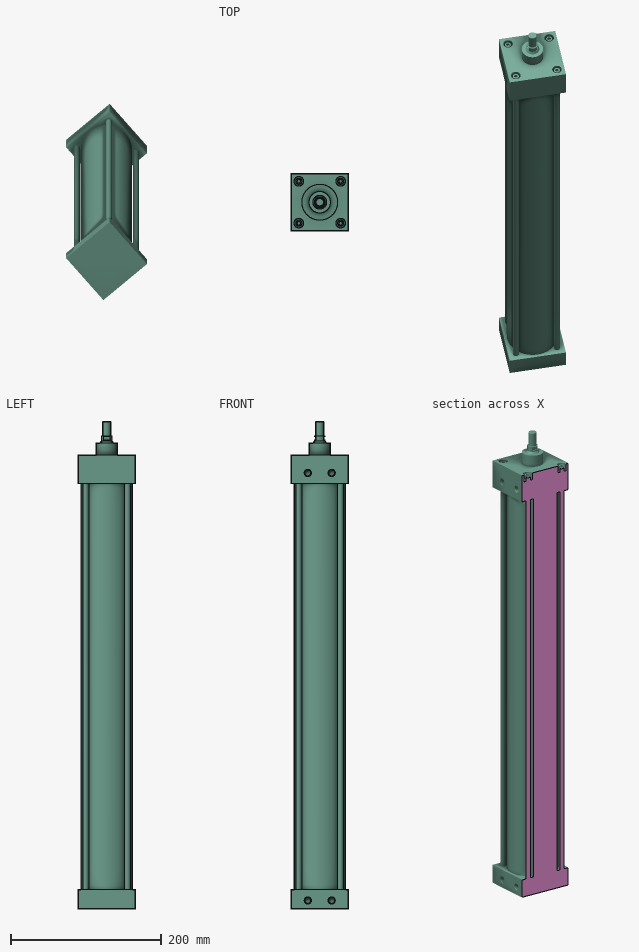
import cadquery as cq
import math

INCH = 25.4

side = 3.0 * INCH
total_length = 25.5 * INCH
rod_reach = 1.75 * INCH
head_height = 1.5 * INCH
cap_height = 1.0 * INCH
head_top = total_length - rod_reach
head_bottom = head_top - head_height

tube_diameter = 2.7 * INCH
tie_rod_spacing = 2.19 * INCH
tie_rod_diameter = 5 / 16 * INCH

pocket_diameter = 0.5 * INCH
pocket_depth = 3 / 8 * INCH
tie_rod_end_height = 5 / 16 * INCH
socket_corner_diameter = 0.2 * INCH
socket_depth = 0.15 * INCH

mount_spacing = 1.25 * INCH
mount_mouth_diameter = 3 / 8 * INCH
mount_mouth_depth = 0.1 * INCH
mount_drill_diameter = 5 / 16 * INCH
mount_drill_depth = 0.625 * INCH
drill_point_angle = 118
head_mount_z = head_bottom + 9 / 16 * INCH
cap_mount_z = 7 / 16 * INCH

gland_recess_diameter = 1.875 * INCH
gland_recess_depth = 0.1
boss_diameter = 1.125 * INCH
boss_height = 5 / 8 * INCH
boss_top = head_top + boss_height
wiper_base_diameter = 0.72 * INCH
wiper_height = 0.1 * INCH
wiper_lip_thickness = 0.2

rod_diameter = 0.55 * INCH
rod_thread_diameter = 7 / 16 * INCH
rod_thread_length = 0.75 * INCH
rod_shoulder = total_length - rod_thread_length
rod_end_chamfer = 0.5
flat_width = 0.42 * INCH
flat_length = 0.18 * INCH
flat_collar = 0.02 * INCH

tie_rod_points = [
    (x * tie_rod_spacing / 2, y * tie_rod_spacing / 2) for x in (-1, 1) for y in (-1, 1)
]


def level(z):
    """Horizontal workplane at height z, centred on the cylinder axis."""
    return cq.Workplane("XY", origin=(0, 0, z))


def make_disc(diameter, z_low, z_high):
    return level(z_low).circle(diameter / 2).extrude(z_high - z_low)


def make_block(z_low, z_high):
    return level(z_low).rect(side, side).extrude(z_high - z_low)


def make_tie_rod_ends():
    seat = head_top - pocket_depth
    ends = level(seat).pushPoints(tie_rod_points).circle(tie_rod_diameter / 2)
    ends = ends.extrude(tie_rod_end_height)
    sockets = level(seat + tie_rod_end_height).pushPoints(tie_rod_points)
    sockets = sockets.polygon(6, socket_corner_diameter).extrude(-socket_depth)
    return ends.cut(sockets)


def make_mount_hole(x, z):
    """Stepped hole running in +Y, its drill ending in a conical point."""
    mouth_radius = mount_mouth_diameter / 2
    drill_radius = mount_drill_diameter / 2
    point_length = drill_radius / math.tan(math.radians(drill_point_angle / 2))
    profile = (
        cq.Workplane("XY")
        .lineTo(mouth_radius, 0)
        .lineTo(mouth_radius, mount_mouth_depth)
        .lineTo(drill_radius, mount_mouth_depth)
        .lineTo(drill_radius, mount_drill_depth)
        .lineTo(0, mount_drill_depth + point_length)
        .close()
    )
    return profile.revolve(360, (0, 0), (0, 1)).translate((x, -side / 2, z))


def make_gland():
    boss_bottom = head_top - gland_recess_depth
    wiper_tip_diameter = rod_diameter + 2 * wiper_lip_thickness
    wiper = (
        level(boss_top)
        .circle(wiper_base_diameter / 2)
        .workplane(offset=wiper_height)
        .circle(wiper_tip_diameter / 2)
        .loft()
    )
    return make_disc(boss_diameter, boss_bottom, boss_top).union(wiper)


def make_housing():
    housing = make_block(0, cap_height).union(make_block(head_bottom, head_top))
    housing = housing.union(make_disc(tube_diameter, cap_height, head_bottom))
    tie_rods = level(cap_height).pushPoints(tie_rod_points).circle(tie_rod_diameter / 2)
    housing = housing.union(tie_rods.extrude(head_bottom - cap_height))

    pockets = level(head_top).pushPoints(tie_rod_points).circle(pocket_diameter / 2)
    housing = housing.cut(pockets.extrude(-pocket_depth)).union(make_tie_rod_ends())

    for z in (cap_mount_z, head_mount_z):
        for x in (-mount_spacing / 2, mount_spacing / 2):
            housing = housing.cut(make_mount_hole(x, z))

    housing = housing.cut(make_disc(gland_recess_diameter, head_top - gland_recess_depth, head_top))
    housing = housing.union(make_gland())
    rod_hole = make_disc(rod_diameter, head_bottom, total_length)
    return housing.cut(rod_hole)


def make_piston_rod():
    rod = make_disc(rod_diameter, head_bottom, rod_shoulder)
    flat_top = rod_shoulder - flat_collar
    slab_offset = (flat_width + rod_diameter) / 2
    flat_cuts = (
        level(flat_top)
        .pushPoints([(-slab_offset, 0), (slab_offset, 0)])
        .rect(rod_diameter, 2 * rod_diameter)
        .extrude(-flat_length)
    )
    threaded_end = make_disc(rod_thread_diameter, rod_shoulder, total_length)
    threaded_end = threaded_end.faces(">Z").chamfer(rod_end_chamfer)
    return rod.cut(flat_cuts).union(threaded_end)


housing = make_housing()
piston_rod = make_piston_rod()
result = cq.Compound.makeCompound([housing.val(), piston_rod.val()])